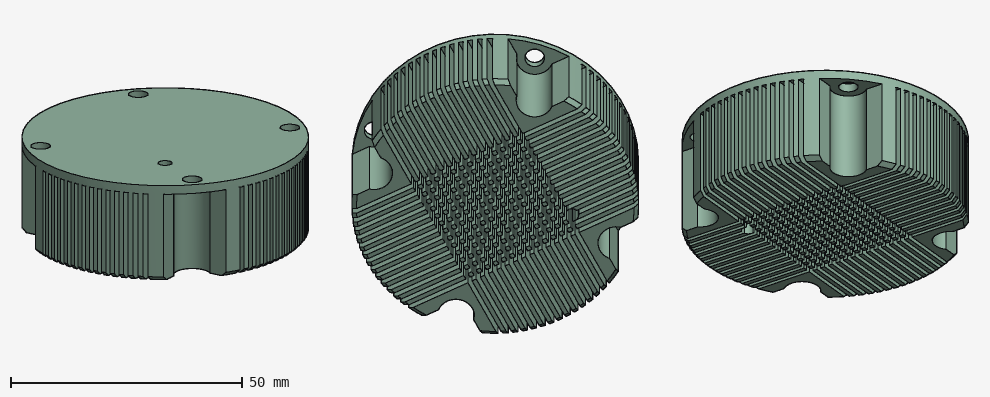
import cadquery as cq

diameter = 62.0
height = 22.0
plate_thickness = 2.0
bottom_chamfer = 1.0

slot_count = 14
slot_width = 1.0
slot_pitch = 2.0

fixing_hole_diameter = 4.2
fixing_offset = 19.5
relief_diameter = 8.0
corner_wall_offset = 16.5

small_hole_diameter = 3.0
small_hole_x = 9.0
small_hole_y = -14.0

radius = diameter / 2
slot_depth = height - plate_thickness


def make_body():
    """Plain disc, chamfered around its bottom rim."""
    disc = cq.Workplane("XY").circle(radius).extrude(height)
    return disc.faces("<Z").edges().chamfer(bottom_chamfer)


def make_slots():
    """Parallel slots along Y and along X, which leave a grid of square pins."""
    first_offset = -slot_pitch * (slot_count - 1) / 2
    offsets = [first_offset + i * slot_pitch for i in range(slot_count)]
    along_y = (
        cq.Workplane("XY")
        .pushPoints([(offset, 0) for offset in offsets])
        .rect(slot_width, diameter)
        .extrude(slot_depth)
    )
    along_x = along_y.rotate((0, 0, 0), (0, 0, 1), 90)
    return along_y, along_x


def make_corner_relief():
    """Round clearance below the +X+Y fixing hole, opened out to the rim by two straight-walled arms."""
    clearance = (
        cq.Workplane("XY")
        .center(fixing_offset, fixing_offset)
        .circle(relief_diameter / 2)
        .extrude(slot_depth)
    )
    arm_length = radius - fixing_offset
    arm_width = radius - corner_wall_offset
    arm_x = cq.Workplane("XY").box(arm_length, arm_width, slot_depth, centered=False)
    arm_x = arm_x.translate((fixing_offset, corner_wall_offset, 0))
    arm_y = cq.Workplane("XY").box(arm_width, arm_length, slot_depth, centered=False)
    arm_y = arm_y.translate((corner_wall_offset, fixing_offset, 0))
    return clearance.union(arm_x).union(arm_y)


def make_hole(x, y, hole_diameter):
    """Cutter for a vertical hole through the full height."""
    return cq.Workplane("XY").center(x, y).circle(hole_diameter / 2).extrude(height)


result = make_body()

corner_cutter = make_corner_relief().union(make_hole(fixing_offset, fixing_offset, fixing_hole_diameter))
for angle in (0, 90, 180, 270):
    result = result.cut(corner_cutter.rotate((0, 0, 0), (0, 0, 1), angle))

result = result.cut(make_hole(small_hole_x, small_hole_y, small_hole_diameter))

for slots in make_slots():
    result = result.cut(slots)